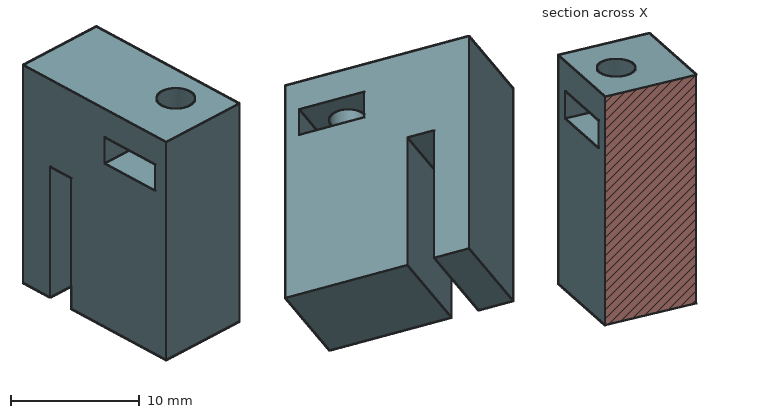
import cadquery as cq

WIDTH = 15.8
DEPTH = 8.0
HEIGHT = 20.0

SLOT_LEFT = 3.0
SLOT_WIDTH = 2.3
SLOT_HEIGHT = 12.0

HOLE_DIAMETER = 3.0
HOLE_TO_RIGHT_FACE = 4.0
HOLE_TO_BACK_FACE = 3.0
HOLE_X = WIDTH - HOLE_TO_RIGHT_FACE
HOLE_Y = DEPTH - HOLE_TO_BACK_FACE
HOLE_DEPTH = 5.0

POCKET_WIDTH = 5.58
POCKET_HEIGHT = 2.4
POCKET_LEFT = HOLE_X - POCKET_WIDTH / 2
POCKET_BOTTOM = HEIGHT - HOLE_DEPTH


def box_through_depth(left, bottom, width, height):
    """Box spanning the full depth of the block."""
    return cq.Workplane("XY").box(width, DEPTH, height, centered=False).translate((left, 0, bottom))


def screw_hole():
    """Cylinder reaching from the top face to the pocket floor."""
    return (
        cq.Workplane("XY", origin=(HOLE_X, HOLE_Y, HEIGHT))
        .circle(HOLE_DIAMETER / 2)
        .extrude(-HOLE_DEPTH)
    )


block = box_through_depth(0, 0, WIDTH, HEIGHT)
slot = box_through_depth(SLOT_LEFT, 0, SLOT_WIDTH, SLOT_HEIGHT)
nut_pocket = box_through_depth(POCKET_LEFT, POCKET_BOTTOM, POCKET_WIDTH, POCKET_HEIGHT)

result = block.cut(slot).cut(nut_pocket).cut(screw_hole())